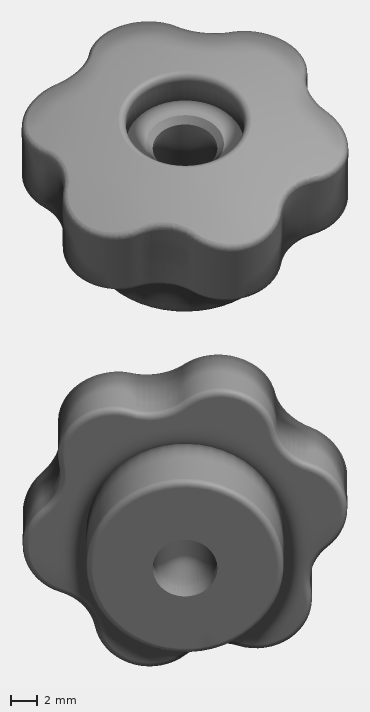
import cadquery as cq
import math

lobe_count = 6
lobe_radius = 4.25
lobe_center_distance = 8.25
valley_radius = 4.0
outer_radius = lobe_center_distance + lobe_radius

hub_height = 6.0
rim_height = 13.68
dome_radius = 40.0
edge_fillet = 0.5

hub_diameter = 15.0
recess_diameter = 9.0
recess_floor = 11.0
hole_diameter = 4.92
hole_chamfer = 0.5
mouth_fillet = 0.55

half_pitch = math.pi / lobe_count
lobe_offset = lobe_center_distance * math.sin(half_pitch)
tangent_distance = lobe_radius + valley_radius
valley_center_distance = lobe_center_distance * math.cos(half_pitch) + math.sqrt(
    tangent_distance**2 - lobe_offset**2
)
valley_distance = valley_center_distance - valley_radius
mouth_radius = recess_diameter / 2 + mouth_fillet


def polar(distance, angle):
    return (distance * math.cos(angle), distance * math.sin(angle))


def tangent_point(lobe_angle, side):
    """Point where a lobe meets the valley on its given side (-1 or 1)."""
    lobe = polar(lobe_center_distance, lobe_angle)
    valley = polar(valley_center_distance, lobe_angle + side * half_pitch)
    share = lobe_radius / tangent_distance
    return tuple(a + share * (b - a) for a, b in zip(lobe, valley))


def star_prism():
    outline = cq.Workplane("XY").workplane(offset=hub_height).moveTo(*tangent_point(0, -1))
    for i in range(lobe_count):
        angle = 2 * i * half_pitch
        next_angle = angle + 2 * half_pitch
        outline = outline.threePointArc(polar(outer_radius, angle), tangent_point(angle, 1))
        outline = outline.threePointArc(
            polar(valley_distance, angle + half_pitch), tangent_point(next_angle, -1)
        )
    return outline.close().extrude(rim_height)


def dome_envelope():
    """Solid of revolution under the spherical top of the head."""
    center_height = rim_height - math.sqrt(dome_radius**2 - mouth_radius**2)

    def dome_height(radius):
        return center_height + math.sqrt(dome_radius**2 - radius**2)

    envelope_radius = outer_radius + lobe_radius
    middle_radius = envelope_radius / 2
    return (
        cq.Workplane("XZ")
        .lineTo(envelope_radius, 0)
        .lineTo(envelope_radius, dome_height(envelope_radius))
        .threePointArc((middle_radius, dome_height(middle_radius)), (0, dome_height(0)))
        .close()
        .revolve(360, (0, 0, 0), (0, 1, 0))
    )


def hub():
    return (
        cq.Workplane("XY")
        .circle(hub_diameter / 2)
        .extrude(hub_height)
        .faces("<Z")
        .edges()
        .fillet(edge_fillet)
    )


def bore():
    """Through hole, chamfered step and recess with a rounded mouth."""
    hole_radius = hole_diameter / 2
    recess_radius = recess_diameter / 2
    fillet_bottom = rim_height - mouth_fillet
    fillet_middle = (
        mouth_radius - mouth_fillet * math.cos(math.pi / 4),
        fillet_bottom + mouth_fillet * math.sin(math.pi / 4),
    )
    top = rim_height + mouth_fillet
    return (
        cq.Workplane("XZ")
        .lineTo(hole_radius, 0)
        .lineTo(hole_radius, recess_floor - hole_chamfer)
        .lineTo(hole_radius + hole_chamfer, recess_floor)
        .lineTo(recess_radius, recess_floor)
        .lineTo(recess_radius, fillet_bottom)
        .threePointArc(fillet_middle, (mouth_radius, rim_height))
        .lineTo(mouth_radius, top)
        .lineTo(0, top)
        .close()
        .revolve(360, (0, 0, 0), (0, 1, 0))
    )


head = star_prism().intersect(dome_envelope())
head = head.faces("<Z").edges().fillet(edge_fillet)
head = head.faces(">Z").edges().fillet(edge_fillet)
result = head.union(hub()).cut(bore())